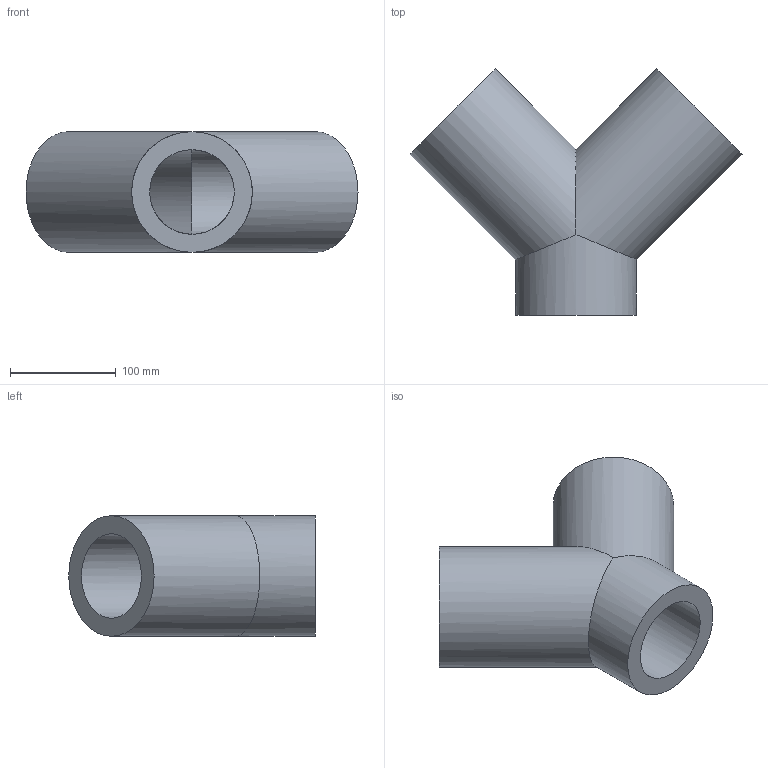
import cadquery as cq
import math

outer_diameter = 114.3
bore_diameter = 80.06
inlet_length = 76.2
branch_length = 165.1
branch_angle = 45.0


def mitred_elbow(diameter, side):
    """Solid rod along the inlet and one branch, mitred at the origin; side is +1 or -1 in X."""
    angle = math.radians(branch_angle)
    branch_end = (
        side * branch_length * math.sin(angle),
        branch_length * math.cos(angle),
        0,
    )
    inlet_end = (0, -inlet_length, 0)
    path = cq.Workplane("XY").polyline([inlet_end, (0, 0, 0), branch_end])
    inlet_plane = cq.Plane(origin=inlet_end, xDir=(1, 0, 0), normal=(0, 1, 0))
    return cq.Workplane(inlet_plane).circle(diameter / 2).sweep(path, transition="right")


def wye(diameter):
    """Two mirrored elbows that share the inlet."""
    return mitred_elbow(diameter, 1).union(mitred_elbow(diameter, -1))


result = wye(outer_diameter).cut(wye(bore_diameter))